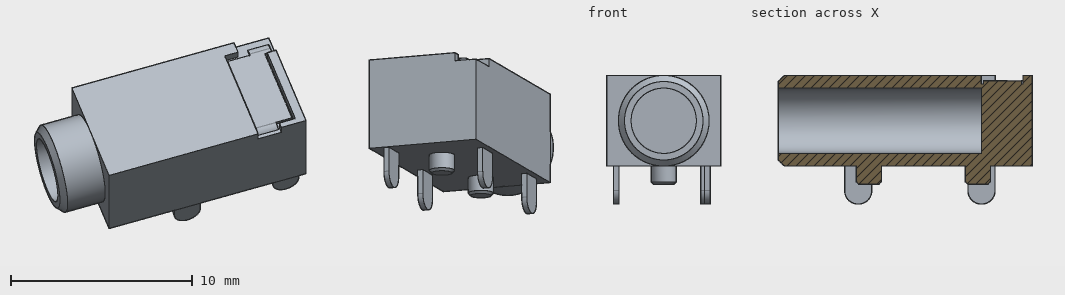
import cadquery as cq

total_length = 14.0
body_width = 6.3
nose_diameter = 5.0
body_height = nose_diameter
nose_length = 2.52
nose_chamfer = 0.34
bore_diameter = 3.6
bore_depth = 11.2

half_width = body_width / 2
top_z = body_height / 2
bottom_z = -top_z
back_y = total_length / 2
front_y = -back_y
body_front_y = front_y + nose_length
body_length = total_length - nose_length

recess_depth = 0.46
recess_length = 2.8
land_width = 0.69
land_back = 2.03
rim_left_x = -1.92
rim_thickness = 0.52
rim_side_thickness = 0.34
rim_side_length = 1.44

plate_thickness = 0.17
plate_left_x = -2.25
plate_right_x = 2.52
plate_back = 0.59
plate_front = 2.7
tab_bend_width = 0.39
left_tab_bend_x = -2.34
left_tab_inner_x = -2.09
left_tab_back = 0.18
left_tab_front = 1.4
right_tab_bend_x = 2.53
right_tab_back = 1.53

leg_width = 1.51
leg_thickness = 0.31
leg_length = 2.1
leg_positions = [
    (-2.77, 2.8),
    (-2.77, 9.59),
    (2.03, 0.9),
    (2.25, 6.7),
]

post_diameter = 1.4
post_length = 1.01
post_chamfer = 0.14
post_distances = [3.0, 9.0]

overlap = 0.14


def block(x_min, x_max, back_near, back_far, z_min, z_max):
    """Box placed by X limits, distances from the back face, and Z limits."""
    size = (x_max - x_min, back_far - back_near, z_max - z_min)
    corner = (x_min, back_y - back_far, z_min)
    return cq.Workplane("XY").box(*size, centered=False).translate(corner)


def make_housing():
    body = block(-half_width, half_width, 0, body_length, bottom_z, top_z)
    nose = (
        cq.Workplane("XZ", origin=(0, body_front_y + overlap, 0))
        .circle(nose_diameter / 2)
        .extrude(nose_length + overlap)
        .faces("<Y")
        .chamfer(nose_chamfer)
    )
    bore = (
        cq.Workplane("XZ", origin=(0, front_y + bore_depth, 0))
        .circle(bore_diameter / 2)
        .extrude(bore_depth)
    )
    return body.union(nose).cut(bore)


def make_recess():
    floor_z = top_z - recess_depth
    inner_right_x = half_width - rim_side_thickness
    recess = block(-half_width, half_width, 0, recess_length, floor_z, top_z)
    land = block(-half_width, land_width - half_width, land_back, recess_length, floor_z, top_z)
    back_rim = block(rim_left_x, half_width, 0, rim_thickness, floor_z, top_z)
    side_rim = block(inner_right_x, half_width, 0, rim_side_length, floor_z, top_z)
    return recess.cut(land).cut(back_rim).cut(side_rim)


def make_bent_tab(bend_x, direction, back_near, back_far):
    """Rounded tab edge, curving from the plate top down to the recess floor."""
    floor_z = top_z - recess_depth
    plate_top_z = floor_z + plate_thickness
    radius = (tab_bend_width**2 + plate_thickness**2) / (2 * plate_thickness)
    mid_offset = tab_bend_width / 2
    mid_drop = radius - (radius**2 - mid_offset**2) ** 0.5
    return (
        cq.Workplane("XZ", origin=(0, back_y - back_near, 0))
        .moveTo(bend_x, floor_z)
        .lineTo(bend_x, plate_top_z)
        .threePointArc(
            (bend_x + direction * mid_offset, plate_top_z - mid_drop),
            (bend_x + direction * tab_bend_width, floor_z),
        )
        .close()
        .extrude(back_far - back_near)
    )


def make_plate():
    floor_z = top_z - recess_depth
    plate_top_z = floor_z + plate_thickness
    left = block(left_tab_bend_x, left_tab_inner_x, left_tab_back, left_tab_front, floor_z, plate_top_z)
    middle = block(plate_left_x, plate_right_x, plate_back, plate_front, floor_z, plate_top_z)
    right = block(plate_right_x, right_tab_bend_x, right_tab_back, plate_front, floor_z, plate_top_z)
    left_bend = make_bent_tab(left_tab_bend_x, -1, left_tab_back, left_tab_front)
    right_bend = make_bent_tab(right_tab_bend_x, 1, right_tab_back, plate_front)
    return middle.union(left).union(right).union(left_bend).union(right_bend)


def make_leg(left_x, distance):
    """Flat leg with a fully rounded lower end."""
    radius = leg_width / 2
    centre_y = back_y - distance
    round_z = bottom_z - leg_length + radius
    return (
        cq.Workplane("YZ", origin=(left_x, 0, 0))
        .moveTo(centre_y - radius, bottom_z + overlap)
        .lineTo(centre_y - radius, round_z)
        .threePointArc((centre_y, round_z - radius), (centre_y + radius, round_z))
        .lineTo(centre_y + radius, bottom_z + overlap)
        .close()
        .extrude(leg_thickness)
    )


def make_post(distance):
    return (
        cq.Workplane("XY", origin=(0, back_y - distance, bottom_z - post_length))
        .circle(post_diameter / 2)
        .extrude(post_length + overlap)
        .faces("<Z")
        .chamfer(post_chamfer)
    )


result = make_housing().cut(make_recess()).union(make_plate())
for leg_left_x, leg_distance in leg_positions:
    result = result.union(make_leg(leg_left_x, leg_distance))
for post_distance in post_distances:
    result = result.union(make_post(post_distance))